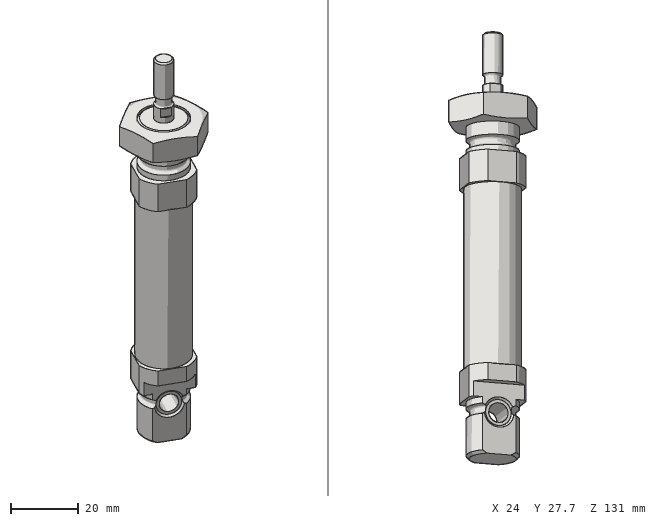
import cadquery as cq

TOTAL_LENGTH = 131.0
THREAD_DIA = 16.0
GROOVE_DIA = 13.8
GROOVE_SIDE = 0.8
GROOVE_FILLET = 0.5
FRONT_TIP_DIA = 14.4
TUBE_DIA = 17.3
CAP_FLATS = 18.0
CAP_ROUND_DIA = 20.0

REAR_CHAMFER = 0.9
REAR_GROOVE_BOTTOM = 12.2
REAR_GROOVE_TOP = 15.3
REAR_CAP_BOTTOM = 17.3
REAR_CAP_TOP = 27.1
CLEVIS_WIDTH = 12.0
CLEVIS_TOP = 21.9
PIVOT_Z = 13.0
PIVOT_DIA = 6.0
PIVOT_SEAT_DIA = 8.0
PIVOT_SEAT_DEPTH = 0.7

FRONT_CAP_BOTTOM = 83.2
FRONT_CAP_TOP = 92.9
FRONT_GROOVE_BOTTOM = 94.8
FRONT_GROOVE_TOP = 98.0
FRONT_END = 110.0

NUT_FLATS = 24.0
NUT_HEIGHT = 8.0
NUT_FACE_DIA = 23.3
NUT_CHAMFER_SLOPE = 0.3

ROD_DIA = 6.0
ROD_TIP_CHAMFER = 0.5
ROD_NECK_DIA = 4.8
ROD_NECK_BOTTOM = 115.0
ROD_NECK_TOP = 118.3
ROD_FLATS = 5.0
ROD_FLATS_BOTTOM = 112.0


def cylinder(diameter, bottom, top):
    return cq.Workplane("XY").workplane(offset=bottom).circle(diameter / 2).extrude(top - bottom)


def revolve_profile(points):
    """Revolve (radius, z) points about the Z axis, closing the outline on the axis."""
    outline = [(0, points[0][1])] + points + [(0, points[-1][1])]
    return cq.Workplane("XZ").polyline(outline).close().revolve(360, (0, 0), (0, 1))


def end_cap(bottom, top):
    """Square cap whose corners are rounded by a cylinder."""
    height = top - bottom
    square = cq.Workplane("XY").workplane(offset=bottom).rect(CAP_FLATS, CAP_FLATS).extrude(height)
    return square.intersect(cylinder(CAP_ROUND_DIA, bottom, top))


def groove_points(bottom, top):
    """Profile of a thread undercut with sloped sides."""
    thread_r = THREAD_DIA / 2
    groove_r = GROOVE_DIA / 2
    return [
        (thread_r, bottom), (groove_r, bottom + GROOVE_SIDE), (groove_r, top - GROOVE_SIDE), (thread_r, top),
    ]


def round_groove_floor(turned_part):
    """Fillet both ends of the undercut floor, which has the smallest circles on the part."""
    return turned_part.edges(cq.selectors.RadiusNthSelector(0)).fillet(GROOVE_FILLET)


def clevis_cuts():
    """Two blocks that leave a flat-sided tongue at the rear end."""
    depth = CAP_ROUND_DIA / 2
    offset = (CLEVIS_WIDTH + depth) / 2
    block = cq.Workplane("XY").pushPoints([(-offset, 0), (offset, 0)])
    return block.rect(depth, CAP_ROUND_DIA).extrude(CLEVIS_TOP)


def pivot_cut():
    """Cross hole along X with a countersunk seat at each flat."""
    half_width = CLEVIS_WIDTH / 2
    hole_r = PIVOT_DIA / 2
    seat_r = PIVOT_SEAT_DIA / 2
    floor = half_width - PIVOT_SEAT_DEPTH
    rim_r = seat_r + PIVOT_SEAT_DEPTH
    outline = [
        (-half_width, 0), (-half_width, rim_r), (-floor, seat_r), (-floor, hole_r),
        (floor, hole_r), (floor, seat_r), (half_width, rim_r), (half_width, 0),
    ]
    profile = cq.Workplane("XY").polyline(outline).close()
    return profile.revolve(360, (0, 0), (1, 0)).translate((0, 0, PIVOT_Z))


def rod_blank():
    rod_r = ROD_DIA / 2
    neck_r = ROD_NECK_DIA / 2
    profile = [
        (rod_r, FRONT_CAP_BOTTOM),
        (rod_r, ROD_NECK_BOTTOM),
        (neck_r, ROD_NECK_BOTTOM),
        (neck_r, ROD_NECK_TOP - rod_r + neck_r),
        (rod_r, ROD_NECK_TOP),
        (rod_r, TOTAL_LENGTH - ROD_TIP_CHAMFER),
        (rod_r - ROD_TIP_CHAMFER, TOTAL_LENGTH),
    ]
    return round_groove_floor(revolve_profile(profile))


def make_housing():
    thread_r = THREAD_DIA / 2
    tip_r = FRONT_TIP_DIA / 2
    rear = revolve_profile(
        [(thread_r - REAR_CHAMFER, 0), (thread_r, REAR_CHAMFER)]
        + groove_points(REAR_GROOVE_BOTTOM, REAR_GROOVE_TOP)
        + [(thread_r, REAR_CAP_BOTTOM)]
    )
    rear = round_groove_floor(rear).union(end_cap(REAR_CAP_BOTTOM, REAR_CAP_TOP))
    rear = rear.cut(clevis_cuts()).cut(pivot_cut())
    front = revolve_profile(
        [(thread_r, FRONT_CAP_TOP)]
        + groove_points(FRONT_GROOVE_BOTTOM, FRONT_GROOVE_TOP)
        + [(thread_r, FRONT_END - thread_r + tip_r), (tip_r, FRONT_END)]
    )
    front = round_groove_floor(front).union(end_cap(FRONT_CAP_BOTTOM, FRONT_CAP_TOP))
    tube = cylinder(TUBE_DIA, REAR_CAP_TOP, FRONT_CAP_BOTTOM)
    rod_bore = cylinder(ROD_DIA, FRONT_CAP_BOTTOM, FRONT_END)
    return rear.union(tube).union(front).cut(rod_bore)


def make_nut():
    """Hexagon nut, corners pointing along Y, chamfered on both faces."""
    bottom = FRONT_END - NUT_HEIGHT
    corner_r = NUT_FLATS / 3 ** 0.5
    face_r = NUT_FACE_DIA / 2
    drop = NUT_CHAMFER_SLOPE * (corner_r - face_r)
    hexagon = cq.Workplane("XY").workplane(offset=bottom).polygon(6, 2 * corner_r).extrude(NUT_HEIGHT)
    hexagon = hexagon.rotate((0, 0, 0), (0, 0, 1), 30)
    envelope = revolve_profile([
        (face_r, bottom), (corner_r, bottom + drop), (corner_r, FRONT_END - drop), (face_r, FRONT_END),
    ])
    return hexagon.intersect(envelope).cut(cylinder(THREAD_DIA, bottom, FRONT_END))


def make_rod():
    """Piston rod with an undercut thread and two wrench flats facing X."""
    rod = rod_blank()
    flats_height = ROD_NECK_BOTTOM - ROD_FLATS_BOTTOM
    flats_zone = cylinder(ROD_DIA, ROD_FLATS_BOTTOM, ROD_NECK_BOTTOM)
    kept = cq.Workplane("XY").workplane(offset=ROD_FLATS_BOTTOM)
    kept = kept.rect(ROD_FLATS, ROD_DIA).extrude(flats_height)
    return rod.cut(flats_zone.cut(kept))


housing = make_housing()
nut = make_nut()
piston_rod = make_rod()
result = cq.Compound.makeCompound([housing.val(), nut.val(), piston_rod.val()])